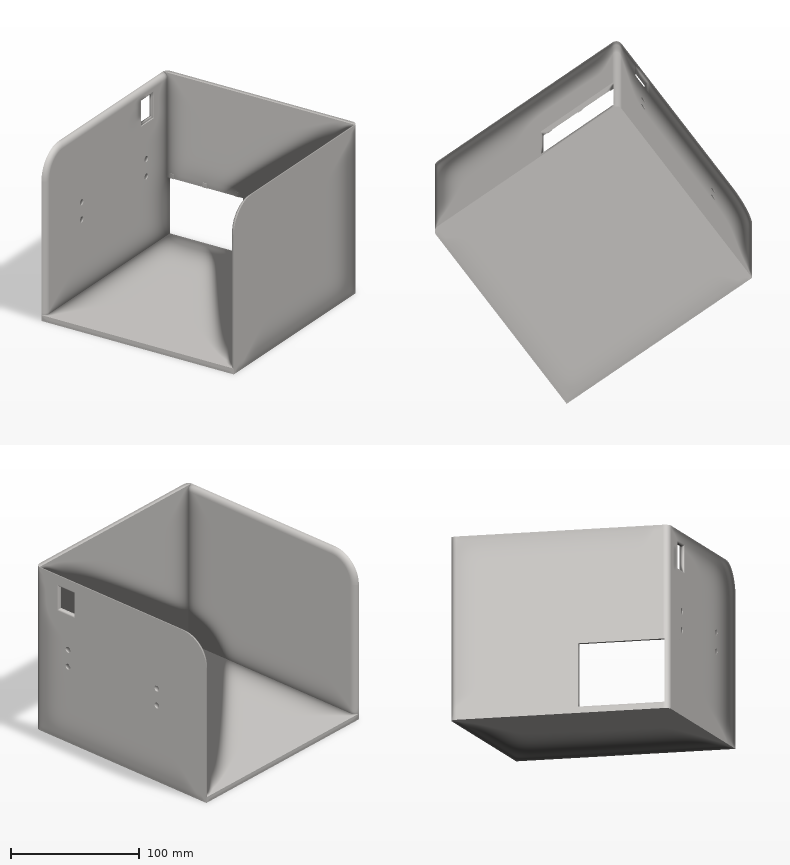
import cadquery as cq

width = 178.0
depth = 178.0
height = 145.0

wall = 4.0
floor = 5.0
front_corner_radius = 25.0
edge_radius = 5.0

opening_width = 70.0
opening_height = 50.0

pad_size = 4.0
pad_thickness = 0.5
pad_offsets = (4.5, 35.0, 64.5)

hole_diameter = 5.0
hole_spacing_y = 92.5
hole_spacing_z = 15.0
hole_center_y = 8.8
hole_center_z = 75.0

window_length = 15.5
window_height = 20.0
window_center_y = 57.0
window_center_z = 125.0
window_rim_radius = 1.5
relief_depth = 1.0
relief_margin = 1.5

left_x = -width / 2
front_y = -depth / 2
back_y = depth / 2
inner_left_x = left_x + wall
inner_back_y = back_y - wall
opening_top_z = floor + opening_height


def box(x_min, y_min, z_min, x_size, y_size, z_size):
    """Box given by its lowest corner and its size."""
    return cq.Workplane("XY").box(x_size, y_size, z_size, centered=False).translate((x_min, y_min, z_min))


def left_wall():
    """Left panel with a rounded upper front corner and a rounded inner rim.

    The rim radius exceeds the wall thickness, so a thicker block is rounded and then trimmed on its outside.
    """
    block_thickness = 2 * edge_radius
    block_x = inner_left_x - block_thickness
    panel = box(block_x, front_y, floor, block_thickness, inner_back_y - front_y, height - floor)
    panel = panel.edges("|X and >Z and <Y").fillet(front_corner_radius)
    panel = panel.faces(">X").edges(">Z").fillet(edge_radius)
    return panel.intersect(box(left_x, front_y, floor, wall, depth, height))


def back_panel():
    """Back panel with the rectangular opening."""
    panel = box(left_x, inner_back_y, floor, width, wall, height - floor)
    opening = box(inner_left_x, inner_back_y, floor, opening_width, wall, opening_height)
    return panel.cut(opening)


def shell():
    """Floor, side walls and back panel, with rounded upright back corners."""
    body = box(left_x, front_y, 0, width, depth, floor)
    body = body.union(left_wall())
    body = body.union(left_wall().mirror("YZ"))
    body = body.union(back_panel())
    back_corners = box(left_x, front_y, 0, width, depth, height).edges("|Z and >Y").fillet(edge_radius)
    return body.intersect(back_corners)


def pads():
    """Row of small pads above the opening."""
    row = cq.Workplane("XY")
    for offset in pad_offsets:
        pad_x = inner_left_x + offset - pad_size / 2
        pad_y = inner_back_y - pad_thickness
        row = row.add(box(pad_x, pad_y, opening_top_z, pad_size, pad_thickness + wall / 2, pad_size))
    return row.combine()


def screw_holes():
    """Cylinders for the four screw holes."""
    return (
        cq.Workplane("YZ", origin=(left_x, hole_center_y, hole_center_z))
        .rarray(hole_spacing_y, hole_spacing_z, 2, 2)
        .circle(hole_diameter / 2)
        .extrude(wall)
    )


def add_switch_window(body):
    """Cut the window through the left wall, round its outer rim and relieve the wall behind it."""
    face = cq.Workplane("YZ", origin=(left_x, window_center_y, window_center_z))
    body = body.cut(face.rect(window_length, window_height).extrude(wall))
    rim_box = cq.selectors.BoxSelector(
        (left_x - wall / 4, window_center_y - window_length, window_center_z - window_height),
        (left_x + wall / 4, window_center_y + window_length, window_center_z + window_height),
    )
    body = body.edges(rim_box).edges("|Y or |Z").fillet(window_rim_radius)
    relief = (
        cq.Workplane("YZ", origin=(inner_left_x, window_center_y, window_center_z))
        .rect(window_length + 2 * relief_margin, window_height + 2 * relief_margin)
        .extrude(-relief_depth)
    )
    return body.cut(relief)


result = add_switch_window(shell().union(pads()).cut(screw_holes()))